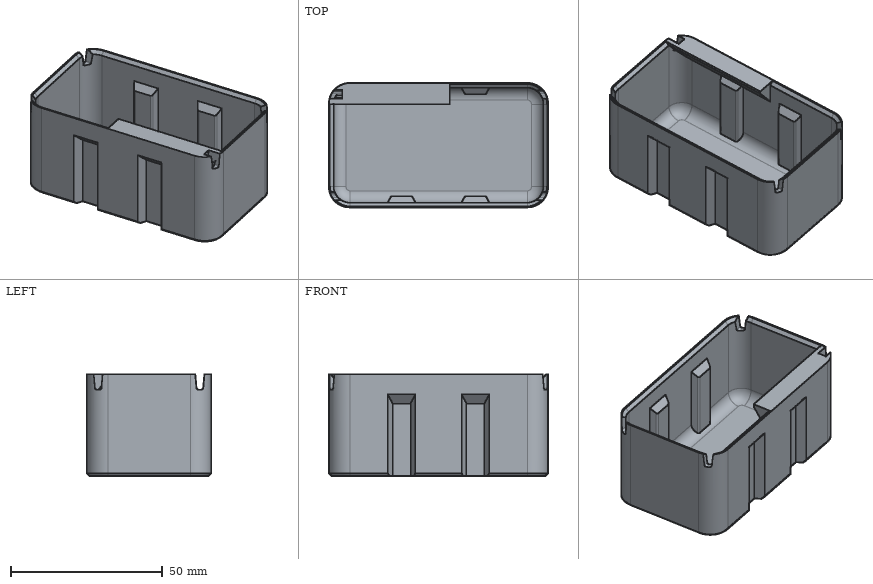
import cadquery as cq
import math

LENGTH = 72.5
WIDTH = 41.2
HEIGHT = 33.7
CORNER_RADIUS = 7.0
WALL = 1.6
FLOOR = 1.0
FLOOR_FILLET = 4.0
BOTTOM_CHAMFER = 1.0
RIM_LIP = 0.4
RIM_BEVEL_HEIGHT = 1.2

GROOVE_SPACING = 24.4
GROOVE_WIDTH = 9.1
GROOVE_DEPTH = 3.0
GROOVE_SIDE_ANGLE = 28.0
GROOVE_TOP_DROP = 6.7
GROOVE_SKIN = 0.8

LEDGE_LENGTH = 40.0
LEDGE_DEPTH = CORNER_RADIUS
LEDGE_EDGE = 1.0
LEDGE_HEIGHT_AT_WALL = 8.5

NOTCH_TOP_WIDTH = 2.95
NOTCH_DEPTH = 5.1
NOTCH_DRAFT = 5.0
NOTCH_FILLET = 0.7
NOTCH_REACH = 4.5
NOTCH_INSET = 3.8

OVERLAP = 1.0


def rounded_block(inset, bottom, top):
    """Block following the outer outline, shrunk by inset on every side."""
    return (
        cq.Workplane("XY", origin=(0, 0, bottom))
        .rect(LENGTH - 2 * inset, WIDTH - 2 * inset)
        .extrude(top - bottom)
        .edges("|Z")
        .fillet(CORNER_RADIUS - inset)
    )


def make_rim_bevel():
    """Funnel that widens the cavity up to the thin lip at the rim."""
    bevel_run = WALL - RIM_LIP
    mouth = rounded_block(RIM_LIP, HEIGHT - RIM_BEVEL_HEIGHT, HEIGHT + OVERLAP)
    return mouth.faces("<Z").chamfer(RIM_BEVEL_HEIGHT, bevel_run)


def make_shell():
    outside = rounded_block(0, 0, HEIGHT).faces("<Z").chamfer(BOTTOM_CHAMFER)
    cavity = rounded_block(WALL, FLOOR, HEIGHT).faces("<Z").edges().fillet(FLOOR_FILLET)
    return outside.cut(cavity).cut(make_rim_bevel())


def make_front_channel(center_x, bottom, skin):
    """Channel entering the front wall, grown by skin on its sides, floor and sloped top."""
    side_slope = math.tan(math.radians(GROOVE_SIDE_ANGLE))
    half_mouth = GROOVE_WIDTH / 2 + skin / math.cos(math.radians(GROOVE_SIDE_ANGLE))
    depth = GROOVE_DEPTH + skin
    half_floor = half_mouth - depth * side_slope
    top = HEIGHT - GROOVE_TOP_DROP + skin * math.sqrt(2)
    front = -WIDTH / 2

    channel = (
        cq.Workplane("XY", origin=(center_x, front, bottom))
        .polyline([(-half_mouth, 0), (half_mouth, 0), (half_floor, depth), (-half_floor, depth)])
        .close()
        .extrude(top - bottom)
    )
    if skin > 0:
        channel = channel.edges("|Z and >Y").fillet(skin)
    above_slope = (
        cq.Workplane("YZ", origin=(center_x - GROOVE_WIDTH, front, top))
        .polyline([(0, 0), (depth + OVERLAP, 0), (depth + OVERLAP, -depth - OVERLAP)])
        .close()
        .extrude(2 * GROOVE_WIDTH)
    )
    return channel.cut(above_slope)


def add_grooves(body):
    """Add the four ribs, then sink a groove into the back of each."""
    inside = rounded_block(WALL / 2, FLOOR / 2, HEIGHT)
    for center_x in (-GROOVE_SPACING / 2, GROOVE_SPACING / 2):
        rib = make_front_channel(center_x, FLOOR / 2, GROOVE_SKIN).intersect(inside)
        groove = make_front_channel(center_x, 0, 0)
        body = body.union(rib).union(rib.mirror("XZ"))
        body = body.cut(groove).cut(groove.mirror("XZ"))
    return body


def make_ledge():
    """Flat ledge with a sloped underside, trimmed to the outer outline."""
    back = WIDTH / 2
    front = back - LEDGE_DEPTH
    inner_wall = back - WALL
    ledge = (
        cq.Workplane("YZ", origin=(-LENGTH / 2, 0, 0))
        .moveTo(back, HEIGHT)
        .lineTo(front, HEIGHT)
        .lineTo(front, HEIGHT - LEDGE_EDGE)
        .lineTo(inner_wall, HEIGHT - LEDGE_HEIGHT_AT_WALL)
        .lineTo(back, HEIGHT - LEDGE_HEIGHT_AT_WALL)
        .close()
        .extrude(LEDGE_LENGTH)
    )
    return ledge.intersect(rounded_block(0, 0, HEIGHT))


def make_notch(side_x, side_y):
    """Notch at the corner picked by the signs side_x and side_y."""
    half_top = NOTCH_TOP_WIDTH / 2
    half_bottom = half_top - NOTCH_DEPTH * math.tan(math.radians(NOTCH_DRAFT))
    center_x = side_x * (LENGTH - NOTCH_REACH) / 2
    center_y = side_y * (WIDTH / 2 - NOTCH_INSET)
    return (
        cq.Workplane("YZ", origin=(center_x, center_y, HEIGHT))
        .polyline(
            [(-half_top, 0), (half_top, 0), (half_bottom, -NOTCH_DEPTH), (-half_bottom, -NOTCH_DEPTH)]
        )
        .close()
        .extrude(NOTCH_REACH / 2, both=True)
        .edges("|X and <Z")
        .fillet(NOTCH_FILLET)
    )


def cut_notches(body):
    for side_x in (-1, 1):
        for side_y in (-1, 1):
            body = body.cut(make_notch(side_x, side_y))
    return body


body = make_shell().union(make_ledge())
body = add_grooves(body)
result = cut_notches(body)